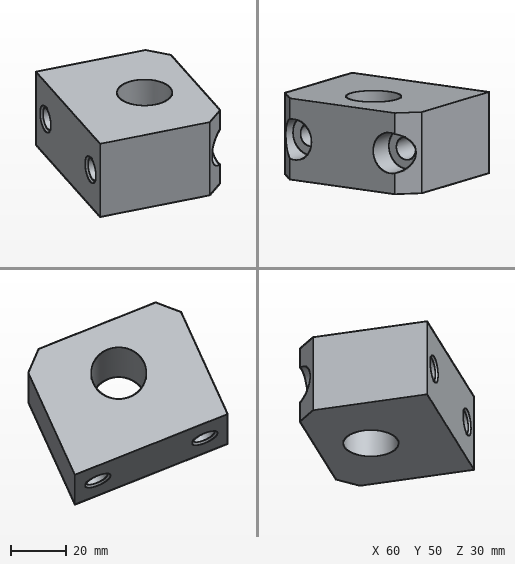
import cadquery as cq

width = 60.0
depth = 50.0
height = 30.0
corner_chamfer = 7.0

bore_diameter = 20.0
bore_from_front = 30.0

bolt_spacing = 42.0
bolt_diameter = 8.4
countersink_diameter = 10.0
counterbore_diameter = 15.0
counterbore_depth = 10.0


def y_cylinder(x, y_start, diameter, length):
    """Cylinder along +Y at mid height."""
    return cq.Workplane(
        cq.Solid.makeCylinder(diameter / 2, length, cq.Vector(x, y_start, 0), cq.Vector(0, 1, 0))
    )


def bolt_hole(x):
    """Through hole, countersunk at the front and counterbored at the back."""
    countersink_depth = (countersink_diameter - bolt_diameter) / 2
    countersink = cq.Workplane(
        cq.Solid.makeCone(
            countersink_diameter / 2,
            bolt_diameter / 2,
            countersink_depth,
            cq.Vector(x, 0, 0),
            cq.Vector(0, 1, 0),
        )
    )
    through_hole = y_cylinder(x, 0, bolt_diameter, depth)
    counterbore = y_cylinder(x, depth - counterbore_depth, counterbore_diameter, counterbore_depth)
    return through_hole.union(countersink).union(counterbore)


block = (
    cq.Workplane("XY")
    .box(width, depth, height, centered=(True, False, True))
    .edges("|Z and >Y")
    .chamfer(corner_chamfer)
)

bore = (
    cq.Workplane("XY")
    .center(0, bore_from_front)
    .circle(bore_diameter / 2)
    .extrude(height / 2, both=True)
)

result = block.cut(bore)
for side in (-1, 1):
    result = result.cut(bolt_hole(side * bolt_spacing / 2))